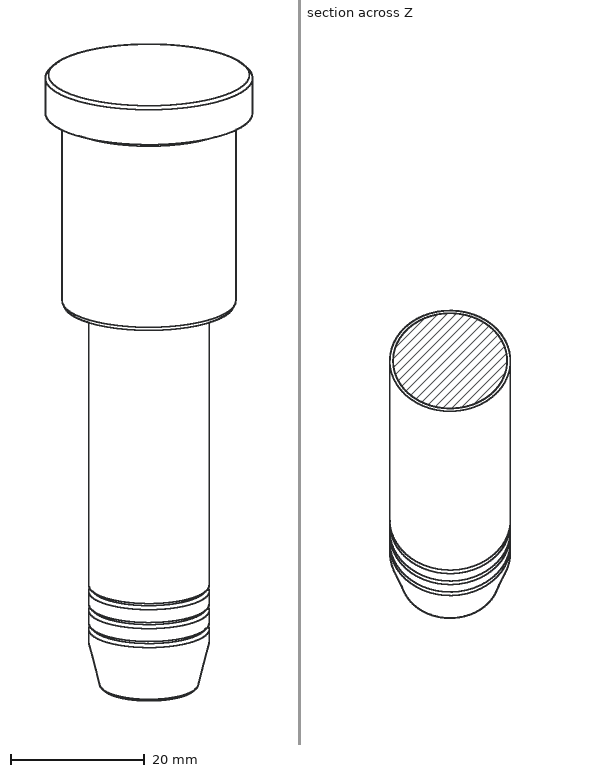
import cadquery as cq

length = 96.0
head_radius = 31.0 / 2
shoulder_radius = 26.0 / 2
pin_radius = 18.0 / 2

head_height = 6.0
shoulder_length = 30.0
head_bottom = length - head_height
shoulder_bottom = head_bottom - shoulder_length

edge_chamfer = 0.5
shoulder_edge_depth = 0.3
shoulder_edge_height = 0.6
head_neck_depth = 0.3
head_neck_height = 0.4
pin_neck_depth = 0.5
pin_neck_height = 1.0
head_neck_slope_height = 0.7

taper_height = 7.0
taper_end_radius = 7.4
tip_chamfer = 0.4

groove_count = 3
groove_depth = 0.5
first_groove_z = 9.5
groove_pitch = 3.0


def make_body():
    """Revolve the half profile of head, shoulder, pin and tapered tip."""
    head_neck_radius = shoulder_radius - head_neck_depth
    head_neck_bottom = head_bottom - head_neck_height
    pin_neck_radius = pin_radius - pin_neck_depth
    pin_neck_bottom = shoulder_bottom - pin_neck_height
    profile = [
        (0, 0),
        (taper_end_radius - tip_chamfer, 0),
        (taper_end_radius, tip_chamfer),
        (pin_radius, taper_height),
        (pin_radius, pin_neck_bottom),
        (pin_neck_radius, pin_neck_bottom),
        (pin_neck_radius, shoulder_bottom),
        (shoulder_radius - shoulder_edge_depth, shoulder_bottom),
        (shoulder_radius, shoulder_bottom + shoulder_edge_height),
        (shoulder_radius, head_neck_bottom - head_neck_slope_height),
        (head_neck_radius, head_neck_bottom),
        (head_neck_radius, head_bottom),
        (head_radius, head_bottom),
        (head_radius, length - edge_chamfer),
        (head_radius - edge_chamfer, length),
        (0, length),
    ]
    return cq.Workplane("XZ").polyline(profile).close().revolve(360, (0, 0), (0, 1))


def make_groove(z):
    """Ring that cuts one V-groove into the pin surface."""
    section = [
        (pin_radius - groove_depth, z),
        (pin_radius, z - groove_depth),
        (pin_radius + groove_depth, z),
        (pin_radius, z + groove_depth),
    ]
    return cq.Workplane("XZ").polyline(section).close().revolve(360, (0, 0), (0, 1))


result = make_body()
for index in range(groove_count):
    result = result.cut(make_groove(first_groove_z + index * groove_pitch))